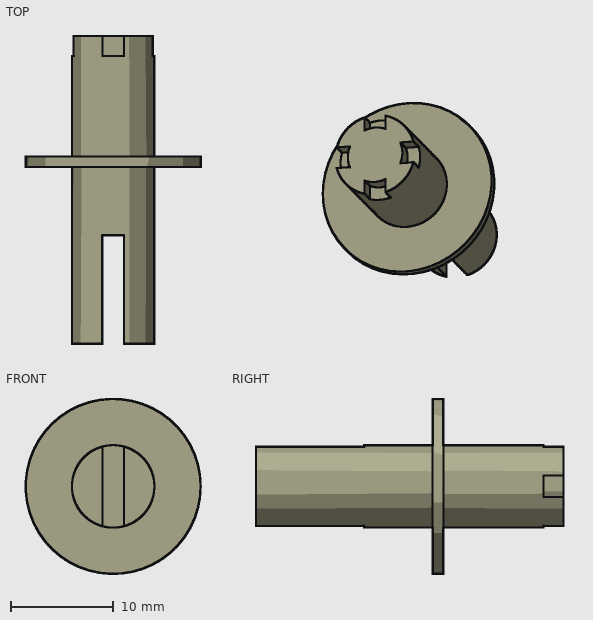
import cadquery as cq

length = 29.9
shaft_diameter = 8.0
flange_diameter = 17.0
flange_thickness = 1.05
flange_front = 17.15
slot_width = 2.1
front_slot_depth = 10.52
notch_depth = 1.95
core_diameter = 5.5

front_y = -length / 2
rear_y = length / 2


def cylinder(diameter, start_y, thickness):
    """Cylinder on the Y axis, growing toward +Y from start_y."""
    plane = cq.Workplane("XZ", origin=(0, start_y, 0))
    return plane.circle(diameter / 2).extrude(-thickness)


def slot_box(width_x, width_z, start_y, depth):
    """Box centred on the Y axis, growing toward +Y from start_y."""
    plane = cq.Workplane("XZ", origin=(0, start_y, 0))
    return plane.rect(width_x, width_z).extrude(-depth)


shaft = cylinder(shaft_diameter, front_y, length)
flange = cylinder(flange_diameter, front_y + flange_front, flange_thickness)
body = shaft.union(flange)

front_slot = slot_box(slot_width, flange_diameter, front_y, front_slot_depth)

notch_y = rear_y - notch_depth
vertical_notches = slot_box(slot_width, flange_diameter, notch_y, notch_depth)
horizontal_notches = slot_box(flange_diameter, slot_width, notch_y, notch_depth)
core = cylinder(core_diameter, notch_y, notch_depth)
rear_notches = vertical_notches.union(horizontal_notches).cut(core)

result = body.cut(front_slot).cut(rear_notches)